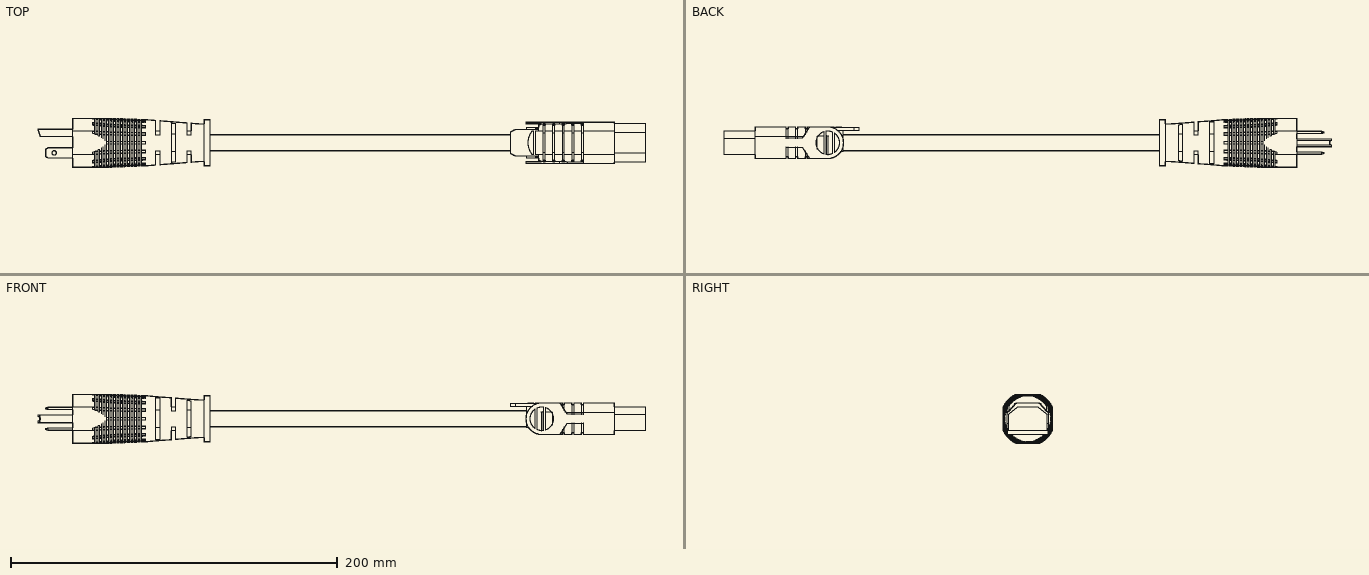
import cadquery as cq


ground_tip_x = 0.0
blade_tip_x = 4.7
plug_face_x = 21.3
shoulder_end_x = 33.5
flat_end_x = 46.0
grip_end_x = 66.0
taper_end_x = 98.8
flange_start_x = 101.8
flange_end_x = 105.5
neck_start_x = 299.1
grip_body_start_x = 306.6
block_start_x = 334.0
nose_start_x = 353.0
cord_end_x = 372.1

plug_width = 30.0
head_radius = 16.7
grip_end_radius = 14.2
relief_radius = 11.6
flange_radius = 14.2

ring_groove_count = 14
ring_groove_pitch = 2.15
ring_groove_width = 0.9
rib_gap_count = 16
rib_gap_width = 1.8
texture_depth = 0.6
cutter_overshoot = 1.0

relief_slot_count = 3
relief_slot_first_x = 73.4
relief_slot_pitch = 9.6
relief_slot_width = 2.5
relief_core_radius = 7.2
relief_web_half = 4.9

blade_spacing = 12.7
blade_thickness = 1.5
blade_width = 6.4
blade_y = -6.2
blade_tip_taper = 1.6
blade_tip_edge = 0.5
blade_corner = 0.9
blade_hole_diameter = 2.6
blade_hole_x = 10.0
ground_width = 4.9
ground_open_y = 8.3
ground_round_y = 3.7
ground_wall = 1.2
ground_tip_bevel = 1.5

cable_radius = 5.0

block_half_y = 12.7
block_half_z = 9.7
block_top_half_y = 7.1
block_bevel_z = 3.7
nose_half_y = 11.8
nose_half_z = 7.2
nose_top_half_y = 6.2
nose_bevel_z = 2.7
core_inset = 0.8
pad_setback = 1.0
pad_nose_length = 14.0
neck_half_y = 9.4
neck_bottom_z = -5.5

grip_groove_first_x = 304.0
grip_groove_count = 6
grip_groove_width = 1.2
grip_groove_last_x = block_start_x - grip_groove_width / 2
grip_groove_pitch = (grip_groove_last_x - grip_groove_first_x) / (grip_groove_count - 1)
grip_groove_inset = 1.1

button_x = 308.5
button_radius = block_half_z
button_inner_y = 11.6
button_straight_end_x = 319.5
button_tail_x = 324.1
button_tail_half = 2.8
dish_radius = 7.2
dish_depth = 0.7
dish_bar_xs = (305.0, 310.2)
dish_bar_width = 1.3

tab_start_x = 289.3
tab_bottom_z = 7.5
tab_top_z = 9.4
tab_half_y = 8.2
tab_tip_half_y = 6.6
tab_corner_length = 3.0
tab_end_x = grip_body_start_x


def bar(x0, x1, y0, y1, z0, z1):
    """Rectangular block between the given limits."""
    return cq.Workplane("XY").box(x1 - x0, y1 - y0, z1 - z0, centered=False).translate((x0, y0, z0))


def rod(x0, x1, radius):
    """Round rod on the cord axis."""
    return cq.Workplane("YZ").workplane(offset=x0).circle(radius).extrude(x1 - x0)


plug_outline = [
    (plug_face_x, head_radius),
    (shoulder_end_x, head_radius),
    (flat_end_x, plug_width / 2),
    (grip_end_x, grip_end_radius),
    (taper_end_x, relief_radius),
    (flange_start_x, relief_radius),
    (flange_start_x, flange_radius),
    (flange_end_x, flange_radius),
]


def plug_shell():
    """Turned plug body with four flats on the head."""
    points = [(plug_face_x, 0)] + plug_outline + [(flange_end_x, 0)]
    turned = cq.Workplane("XY").polyline(points).close().revolve(360, (0, 0, 0), (1, 0, 0))
    half = plug_width / 2
    return turned.intersect(bar(plug_face_x, flange_end_x, -half, half, -half, half))


def grip_floor():
    """Points of the groove floor, parallel to the grip surface."""
    return [(x, r - texture_depth) for x, r in plug_outline[1:4]]


def ring_grooves():
    """List of shallow rings around the grip, down to the groove floor."""
    outer = head_radius + cutter_overshoot
    points = grip_floor() + [(grip_end_x, outer), (shoulder_end_x, outer)]
    sleeve = cq.Workplane("XY").polyline(points).close().revolve(360, (0, 0, 0), (1, 0, 0))
    starts = [shoulder_end_x + (i + 0.5) * ring_groove_pitch for i in range(ring_groove_count)]
    return [rod(x, x + ring_groove_width, outer).intersect(sleeve).val() for x in starts]


def rib_gap(angle):
    """Lengthwise groove in the grip at the given angle about X."""
    outer = head_radius + cutter_overshoot
    points = grip_floor() + [(grip_end_x, outer), (shoulder_end_x, outer)]
    groove = cq.Workplane("XZ").polyline(points).close().extrude(rib_gap_width / 2, both=True)
    return groove.rotate((0, 0, 0), (1, 0, 0), angle)


def relief_slot_pair(x, turn):
    """Two opposite slots around the strain relief core, turned about X."""
    outer = head_radius
    x0 = x - relief_slot_width / 2
    x1 = x + relief_slot_width / 2
    ring = rod(x0, x1, outer).cut(rod(x0, x1, relief_core_radius))
    web = bar(x0, x1, -outer, outer, -relief_web_half, relief_web_half)
    return ring.cut(web).rotate((0, 0, 0), (1, 0, 0), turn)


def blade(z):
    """Flat prong with a tapered tip and a round hole."""
    half_y = blade_width / 2
    half_z = blade_thickness / 2
    taper_x = blade_tip_x + blade_tip_taper
    edge = blade_tip_edge / 2
    plan = [
        (plug_face_x, blade_y - half_y),
        (plug_face_x, blade_y + half_y),
        (taper_x, blade_y + half_y),
        (blade_tip_x, blade_y + half_y - blade_corner),
        (blade_tip_x, blade_y - half_y + blade_corner),
        (taper_x, blade_y - half_y),
    ]
    side = [
        (plug_face_x, -half_z),
        (plug_face_x, half_z),
        (taper_x, half_z),
        (blade_tip_x, edge),
        (blade_tip_x, -edge),
        (taper_x, -half_z),
    ]
    body = cq.Workplane("XY").polyline(plan).close().extrude(blade_thickness, both=True)
    body = body.intersect(cq.Workplane("XZ").polyline(side).close().extrude(plug_width / 2, both=True))
    hole = cq.Workplane("XY").center(blade_hole_x, blade_y).circle(blade_hole_diameter / 2)
    return body.cut(hole.extrude(blade_thickness, both=True)).translate((0, 0, z))


def u_section(half_width, round_y):
    """Solid D-shaped bar along X, rounded toward -Y and ending at the open side."""
    return (
        cq.Workplane("YZ")
        .workplane(offset=ground_tip_x)
        .moveTo(ground_open_y, -half_width)
        .lineTo(round_y + half_width, -half_width)
        .threePointArc((round_y, 0), (round_y + half_width, half_width))
        .lineTo(ground_open_y, half_width)
        .close()
        .extrude(plug_face_x - ground_tip_x)
    )


def ground_prong():
    """U-shaped prong, open toward +Y, with the rounded side bevelled at the tip."""
    half = ground_width / 2
    prong = u_section(half, ground_round_y).cut(u_section(half - ground_wall, ground_round_y + ground_wall))
    bevel = (
        cq.Workplane("XY")
        .moveTo(ground_tip_x, ground_round_y)
        .lineTo(ground_tip_x + ground_tip_bevel, ground_round_y)
        .lineTo(ground_tip_x, ground_open_y)
        .close()
        .extrude(half, both=True)
    )
    return prong.cut(bevel)


plug = plug_shell()
for i in range(relief_slot_count):
    quarter_turn = 90 * ((i + 1) % 2)
    plug = plug.cut(relief_slot_pair(relief_slot_first_x + i * relief_slot_pitch, quarter_turn))
for side in (-1, 1):
    plug = plug.union(blade(side * blade_spacing / 2))
plug = plug.union(ground_prong())
rib_gaps = [rib_gap(i * 360 / rib_gap_count).val() for i in range(rib_gap_count)]
plug = cq.Workplane(plug.val().cut(*ring_grooves(), *rib_gaps))

cable = rod(flange_end_x, neck_start_x, cable_radius)


def bevelled_bar(x0, x1, half_y, half_z, top_half_y, bevel_z):
    """Bar along X with its two upper edges bevelled."""
    outline = [
        (-half_y, -half_z),
        (half_y, -half_z),
        (half_y, bevel_z),
        (top_half_y, half_z),
        (-top_half_y, half_z),
        (-half_y, bevel_z),
    ]
    return cq.Workplane("YZ").workplane(offset=x0).polyline(outline).close().extrude(x1 - x0)


def grip_bar(x0, x1, inset):
    """Piece of the grip section, shrunk by the inset at the sides, top and bottom."""
    half_y = block_half_y - core_inset - inset
    half_z = block_half_z - inset
    top_half_y = block_top_half_y - inset
    return bevelled_bar(x0, x1, half_y, half_z, top_half_y, block_bevel_z)


def grip_core():
    """Grip with a rounded front, cross grooves and a narrower neck below the tab."""
    pad_start_x = neck_start_x + pad_setback
    straight_x = pad_start_x + pad_nose_length
    plan = (
        cq.Workplane("XY")
        .center(straight_x, 0)
        .ellipse(pad_nose_length, block_half_y)
        .extrude(block_half_z, both=True)
        .union(bar(straight_x, block_start_x, -block_half_y, block_half_y, -block_half_z, block_half_z))
    )
    core = grip_bar(pad_start_x, block_start_x, 0).intersect(plan)
    below_tab = bar(pad_start_x, grip_body_start_x, -block_half_y, block_half_y, -block_half_z, tab_bottom_z)
    core = core.cut(below_tab)
    for i in range(grip_groove_count):
        x0 = grip_groove_first_x + i * grip_groove_pitch - grip_groove_width / 2
        x1 = x0 + grip_groove_width
        slab = bar(x0, x1, -block_half_y, block_half_y, -block_half_z, block_half_z)
        core = core.cut(slab.cut(grip_bar(x0, x1, grip_groove_inset)))
    neck = bar(neck_start_x, grip_body_start_x, -neck_half_y, neck_half_y, neck_bottom_z, tab_bottom_z)
    return core.union(neck)


def button_plate():
    """Side button on the -Y side: a round plate narrowing to a tail, with a barred dish."""
    thickness = block_half_y - button_inner_y
    plate = (
        cq.Workplane("XZ", origin=(0, -button_inner_y, 0))
        .moveTo(button_x, button_radius)
        .lineTo(button_straight_end_x, button_radius)
        .lineTo(button_tail_x, button_tail_half)
        .lineTo(block_start_x, button_tail_half)
        .lineTo(block_start_x, -button_tail_half)
        .lineTo(button_tail_x, -button_tail_half)
        .lineTo(button_straight_end_x, -button_radius)
        .lineTo(button_x, -button_radius)
        .threePointArc((button_x - button_radius, 0), (button_x, button_radius))
        .close()
        .extrude(thickness)
    )
    dish_floor = (button_x, -block_half_y + dish_depth, 0)
    dish = cq.Workplane("XZ", origin=dish_floor).circle(dish_radius).extrude(dish_depth)
    for x in dish_bar_xs:
        half = dish_bar_width / 2
        dish = dish.cut(bar(x - half, x + half, -block_half_y, -button_inner_y, -dish_radius, dish_radius))
    return plate.cut(dish)


def release_tab():
    """Flat tongue over the cable end, joined to the grip behind and the neck below."""
    shoulder_x = tab_start_x + tab_corner_length
    outline = [
        (tab_start_x, -tab_tip_half_y),
        (shoulder_x, -tab_half_y),
        (tab_end_x, -tab_half_y),
        (tab_end_x, tab_half_y),
        (shoulder_x, tab_half_y),
        (tab_start_x, tab_tip_half_y),
    ]
    base = cq.Workplane("XY", origin=(0, 0, tab_bottom_z))
    return base.polyline(outline).close().extrude(tab_top_z - tab_bottom_z)


connector = bevelled_bar(
    block_start_x, nose_start_x, block_half_y, block_half_z, block_top_half_y, block_bevel_z
)
connector = connector.union(
    bevelled_bar(nose_start_x, cord_end_x, nose_half_y, nose_half_z, nose_top_half_y, nose_bevel_z)
)
connector = connector.union(grip_core()).union(release_tab())
button = button_plate()
connector = connector.union(button).union(button.mirror("XZ"))

result = cq.Compound.makeCompound([*plug.solids().vals(), cable.val(), *connector.solids().vals()])